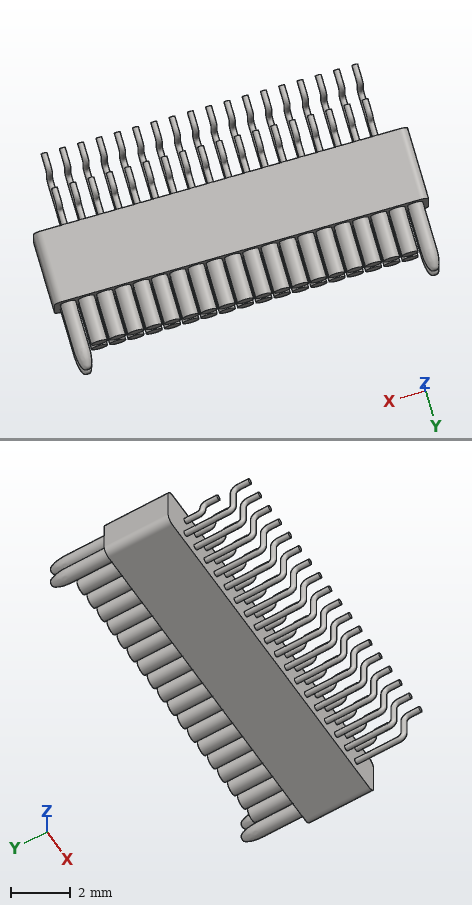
import cadquery as cq

BODY_LENGTH = 13.1
BODY_DEPTH = 2.53
BODY_HEIGHT = 1.78
BODY_CORNER_RADIUS = 0.29

CONTACT_COUNT = 18
CONTACT_SPAN = 10.87
CONTACT_PITCH = CONTACT_SPAN / (CONTACT_COUNT - 1)
ROW_SPACING = 0.76
ROW_HEIGHTS = (-ROW_SPACING / 2, ROW_SPACING / 2)

SLEEVE_DIAMETER = 0.56
SLEEVE_LENGTH = 1.6
PEG_DIAMETER = 0.54
PEG_LENGTH = 2.37
PEG_TIP_LENGTH = 0.7
PEG_END_RADIUS = 0.07
PEG_SPACING = CONTACT_PITCH * (CONTACT_COUNT + 1)

WIRE_DIAMETER = 0.21
LOWER_BEND_RADIUS = 0.22
UPPER_BEND_RADIUS = 0.2
FOOT_HEIGHT = (BODY_HEIGHT - WIRE_DIAMETER) / 2
LOWER_LEAD_REACH = 2.54
LOWER_RISER_OFFSET = 1.89
UPPER_LEAD_REACH = 1.3
UPPER_RISER_OFFSET = 0.68

EMBED = 0.13

contact_xs = [(i - (CONTACT_COUNT - 1) / 2) * CONTACT_PITCH for i in range(CONTACT_COUNT)]


def make_body():
    block = cq.Workplane("XY").box(BODY_LENGTH, BODY_DEPTH, BODY_HEIGHT, centered=(True, False, True))
    return block.edges("|Y").fillet(BODY_CORNER_RADIUS)


def make_sleeve():
    """Plain cylinder along +Y, standing on the +Y face of the body."""
    base = cq.Workplane("XZ", origin=(0, BODY_DEPTH - EMBED, 0))
    return base.circle(SLEEVE_DIAMETER / 2).extrude(-(SLEEVE_LENGTH + EMBED)).val()


def make_peg():
    """Cylinder along +Y with an elliptically rounded tip that ends in a small flat."""
    radius = PEG_DIAMETER / 2
    tip_end = BODY_DEPTH + PEG_LENGTH
    tip_start = tip_end - PEG_TIP_LENGTH
    half_profile = (
        cq.Workplane("XY")
        .moveTo(0, BODY_DEPTH - EMBED)
        .lineTo(radius, BODY_DEPTH - EMBED)
        .lineTo(radius, tip_start)
        .ellipseArc(radius - PEG_END_RADIUS, PEG_TIP_LENGTH, 0, 90, startAtCurrent=True)
        .lineTo(0, tip_end)
        .close()
    )
    return half_profile.revolve(360, (0, 0, 0), (0, 1, 0)).val()


def make_lead(row_z, riser_offset, bend_radius, reach):
    """Wire leaving the -Y face, bent up along a riser, then bent out to a foot level with the body top."""
    path = (
        cq.Workplane("YZ")
        .moveTo(EMBED, row_z)
        .lineTo(bend_radius - riser_offset, row_z)
        .radiusArc((-riser_offset, row_z + bend_radius), bend_radius)
        .lineTo(-riser_offset, FOOT_HEIGHT - bend_radius)
        .radiusArc((-riser_offset - bend_radius, FOOT_HEIGHT), -bend_radius)
        .lineTo(-reach, FOOT_HEIGHT)
    )
    section = cq.Workplane("XZ", origin=(0, EMBED, row_z)).circle(WIRE_DIAMETER / 2)
    return section.sweep(path).val()


lower_z, upper_z = ROW_HEIGHTS
lower_lead = make_lead(lower_z, LOWER_RISER_OFFSET, LOWER_BEND_RADIUS, LOWER_LEAD_REACH)
upper_lead = make_lead(upper_z, UPPER_RISER_OFFSET, UPPER_BEND_RADIUS, UPPER_LEAD_REACH)
sleeve = make_sleeve()
peg = make_peg()

attached = []
for x in contact_xs:
    attached.append(lower_lead.translate(cq.Vector(x, 0, 0)))
    attached.append(upper_lead.translate(cq.Vector(x, 0, 0)))
    for z in ROW_HEIGHTS:
        attached.append(sleeve.translate(cq.Vector(x, 0, z)))
for x in (-PEG_SPACING / 2, PEG_SPACING / 2):
    for z in ROW_HEIGHTS:
        attached.append(peg.translate(cq.Vector(x, 0, z)))

result = cq.Workplane(make_body().val().fuse(*attached))